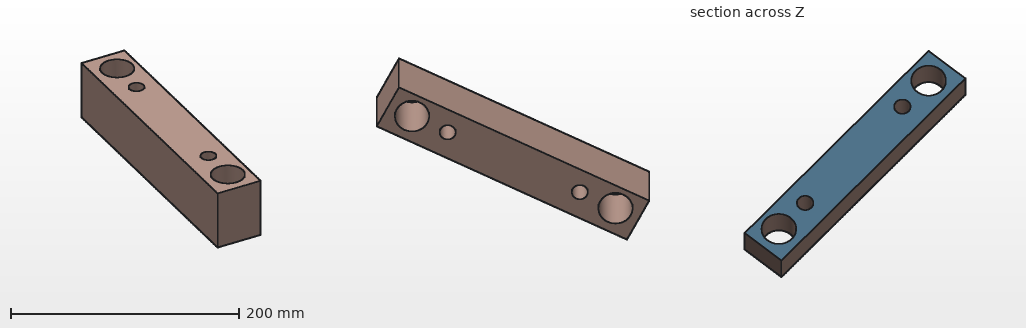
import cadquery as cq

length = 246.0
width = 43.0
height = 56.0

large_diameter = 30.0
large_spacing = 200.0
small_diameter = 14.0
small_spacing = 130.0
hole_row_offset = 1.5


def drill_pair(body, diameter, spacing):
    """Drill two through holes from the top face, spaced along X."""
    centers = [(side * spacing / 2, hole_row_offset) for side in (-1, 1)]
    return body.faces(">Z").workplane(origin=(0, 0, 0)).pushPoints(centers).hole(diameter)


block = cq.Workplane("XY").box(length, width, height)
block = drill_pair(block, large_diameter, large_spacing)
result = drill_pair(block, small_diameter, small_spacing)